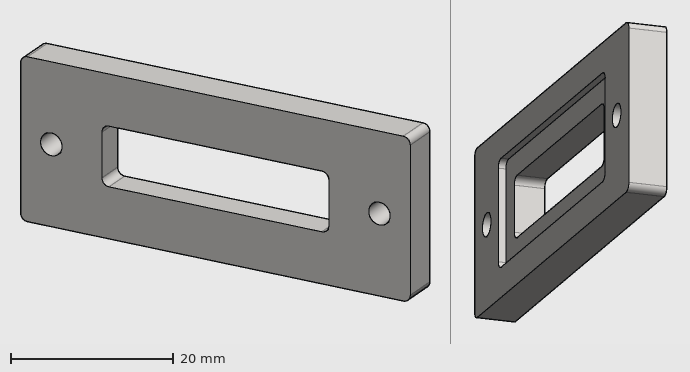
import cadquery as cq

length = 55.0
thickness = 5.0
height = 22.0
corner_radius = 1.0

window_length = 32.0
window_height = 8.1

hole_diameter = 3.0
hole_spacing = 46.3

recess_depth = 1.0
recess_margin = 3.0


def rounded_block(block_length, block_height, depth):
    """Block running forward from the back face, with its four edges along Y rounded."""
    block = cq.Workplane("XY").box(block_length, depth, block_height)
    return block.edges("|Y").fillet(corner_radius).translate((0, (thickness - depth) / 2, 0))


plate = rounded_block(length, height, thickness)
window = rounded_block(window_length, window_height, thickness)
recess = rounded_block(
    window_length + 2 * recess_margin,
    window_height + 2 * recess_margin,
    recess_depth,
)
holes = (
    cq.Workplane("XZ", origin=(0, thickness / 2, 0))
    .rarray(hole_spacing, 0.55, 2, 1)
    .circle(hole_diameter / 2)
    .extrude(thickness)
)

result = plate.cut(window).cut(recess).cut(holes)